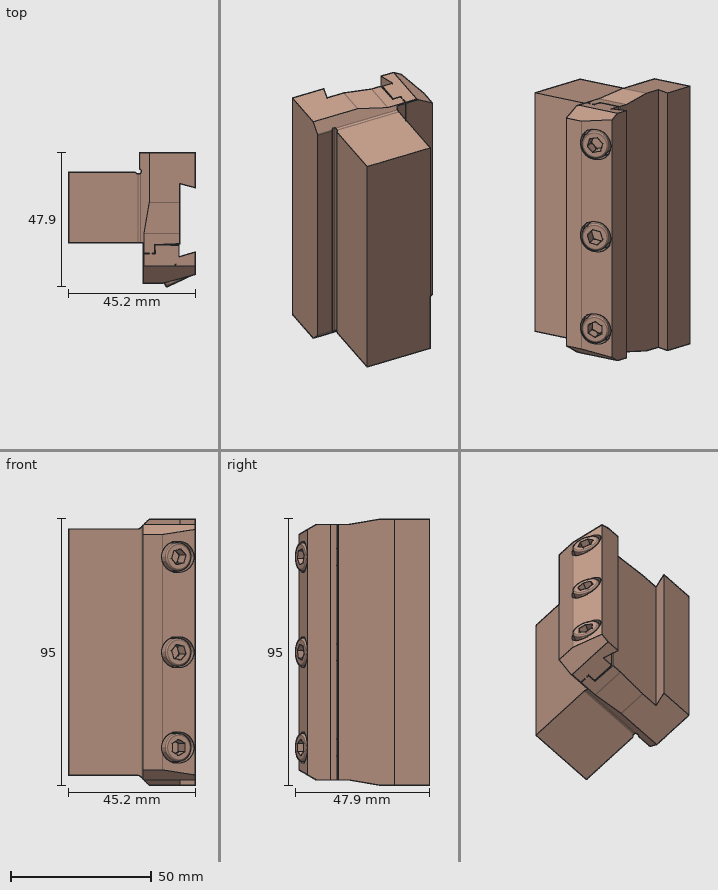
import cadquery as cq
import math


block_height = 95.0
shank_height = 88.0
jaw_height = 91.2
jaw_tip_height = 84.0

shank_left = 0.0
plate_left = 25.3
jaw_left = 26.6
block_right = 45.2
slot_floor = 39.7
jaw_slot_floor = 39.4
slant_start = 33.5

back = 32.2
shank_back = 25.3
shank_front = 0.0
jaw_front = -14.4
end_slope_back = 14.4
end_slope_front = 3.3
jaw_slope_back = -8.3
slot_back = 21.1
slot_front = -4.9

slot_angle = 15.0
jaw_slot_angle = 16.5
slant_angle = 15.0

shank_end_fillet = 1.2
jaw_corner_fillet = 0.4
plate_edge_fillet = 0.5
undercut_depth = 0.6
undercut_on_shank = 1.5
undercut_on_plate = 1.2

near = 0.1

slit_width = 0.2
slit_level = -3.8
hinge_left = 28.7
hinge_right = 29.9
slit_step = 30.8
slit_front = -0.9
slit_inner_width = 0.3
slit_mouth_width = 0.5

screw_angle = 25.0
screw_pitch = 34.0
screw_count = 3
screw_x = 39.3
screw_y = -13.8
head_diameter = 10.0
head_height = 6.0
head_fillet = 0.6
thread_diameter = 6.0
thread_length = 15.2
hex_width = 5.0
hex_depth = 5.9
bore_width = 11.0
bore_length = 11.8
bore_reach = 4.75
hex_turns = [30.0, -13.0, 13.0]


def drop(run, angle):
    """Offset of a line at the given angle after the given run."""
    return run * math.tan(math.radians(angle))


def prism(points, height=block_height):
    """An XY outline extruded along Z, centred on Z = 0."""
    return cq.Workplane("XY").polyline(points).close().extrude(height / 2, both=True)


def make_shank():
    length = jaw_left - shank_left
    depth = shank_back - shank_front
    return cq.Workplane("XY").box(length, depth, shank_height, centered=(False, False, True))


def make_plate():
    """Clamping plate with the dovetail blade slot, before its ends are shaped."""
    return prism([
        (plate_left, back),
        (block_right, back),
        (block_right, slot_back - drop(block_right - slot_floor, slot_angle)),
        (slot_floor, slot_back),
        (slot_floor, slit_front),
        (jaw_slot_floor, slit_front),
        (jaw_slot_floor, slot_front),
        (block_right, slot_front + drop(block_right - jaw_slot_floor, jaw_slot_angle)),
        (block_right, jaw_front + drop(block_right - slant_start, slant_angle)),
        (slant_start, jaw_front),
        (jaw_left, jaw_front),
        (jaw_left, shank_front),
        (plate_left, shank_front),
    ])


def plate_side_profile():
    """Side outline that steps the ends down toward the jaw."""
    upper = [
        (back, block_height / 2),
        (end_slope_back, block_height / 2),
        (end_slope_front, jaw_height / 2),
        (jaw_slope_back, jaw_height / 2),
        (jaw_front, jaw_tip_height / 2),
    ]
    lower = [(y, -z) for y, z in reversed(upper)]
    return cq.Workplane("YZ").polyline(upper + lower).close().extrude(block_right)


def plate_front_profile():
    """Front outline with the left corners chamfered at 45 degrees down to the shank."""
    chamfer = (block_height - shank_height) / 2
    upper = [
        (plate_left, shank_height / 2),
        (plate_left + chamfer, block_height / 2),
        (block_right, block_height / 2),
    ]
    lower = [(x, -z) for x, z in reversed(upper)]
    outline = cq.Workplane("XZ").polyline(upper + lower).close()
    return outline.extrude(2 * block_height, both=True)


def make_undercut():
    """Relief groove where the back of the shank meets the plate."""
    shank_floor = shank_back - undercut_depth
    plate_floor = plate_left + undercut_depth
    shank_end = plate_left - undercut_on_shank
    plate_end = shank_back + undercut_on_plate
    return (
        cq.Workplane("XY")
        .moveTo(shank_end, shank_back)
        .lineTo(shank_end + undercut_depth, shank_floor)
        .lineTo(plate_left, shank_floor)
        .radiusArc((plate_floor, shank_back), -undercut_depth)
        .lineTo(plate_floor, plate_end - undercut_depth)
        .lineTo(plate_left, plate_end)
        .lineTo(shank_end, plate_end)
        .close()
        .extrude(block_height / 2, both=True)
    )


def make_slits():
    """Outer slit from the left face and stepped inner slit from the blade slot."""
    low = slit_level - slit_width / 2
    high = slit_level + slit_width / 2
    outer = prism([(jaw_left, low), (hinge_left, low), (hinge_left, high), (jaw_left, high)])
    inner = prism([
        (hinge_right, low),
        (slit_step + slit_width / 2, low),
        (slit_step + slit_width / 2, slit_front),
        (slot_floor, slit_front),
        (slot_floor, slit_front + slit_mouth_width),
        (slit_step - slit_width / 2, slit_front + slit_inner_width),
        (slit_step - slit_width / 2, high),
        (hinge_right, high),
    ])
    return outer.union(inner)


def screw_plane(index):
    """Plane on the top face of a screw head, its normal pointing out along the screw axis."""
    tilt = math.radians(screw_angle)
    z = (index - (screw_count - 1) / 2) * screw_pitch
    return cq.Plane(
        origin=(screw_x, screw_y, z),
        xDir=(math.cos(tilt), math.sin(tilt), 0),
        normal=(math.sin(tilt), -math.cos(tilt), 0),
    )


def make_screw_hole(index):
    """Counterbore around the head and the hole filled by the thread."""
    seat = cq.Workplane(screw_plane(index)).workplane(offset=-head_height)
    bore = seat.slot2D(bore_length, bore_width).extrude(head_height + bore_reach)
    hole = seat.circle(thread_diameter / 2).extrude(-thread_length)
    return bore.union(hole)


def make_screw(index):
    """Cap screw with a rounded head edge and a hexagon socket."""
    top = cq.Workplane(screw_plane(index))
    head = top.circle(head_diameter / 2).extrude(-head_height)
    top_rim = cq.selectors.NearestToPointSelector(screw_plane(index).origin)
    head = head.edges(top_rim).fillet(head_fillet)
    thread = top.workplane(offset=-head_height).circle(thread_diameter / 2).extrude(-thread_length)
    hex_corners = hex_width / math.cos(math.pi / 6)
    socket = (
        top.transformed(rotate=(0, 0, hex_turns[index]))
        .polygon(6, hex_corners)
        .extrude(-hex_depth)
    )
    return head.union(thread).cut(socket)


def edges_within(low, high):
    """Selector for the edges whose centre lies in the XY rectangle, at any height."""
    return cq.selectors.BoxSelector((*low, -block_height), (*high, block_height))


def make_block():
    plate = make_plate().intersect(plate_side_profile()).intersect(plate_front_profile())
    block = plate.union(make_shank())

    shank_ends = edges_within(
        (plate_left - near, shank_front + near), (plate_left + near, shank_back - near)
    )
    block = block.edges(shank_ends).fillet(shank_end_fillet)
    jaw_corner = edges_within(
        (jaw_left - near, shank_front - near), (jaw_left + near, shank_front + near)
    )
    block = block.edges(jaw_corner).edges("|Z").fillet(jaw_corner_fillet)

    block = block.cut(make_undercut())
    plate_edges = edges_within(
        (plate_left - near, shank_back + near), (plate_left + near, back - near)
    )
    block = block.edges(plate_edges).edges("|Y").fillet(plate_edge_fillet)

    block = block.cut(make_slits())
    for index in range(screw_count):
        block = block.cut(make_screw_hole(index))
    return block


block = make_block()
screws = [make_screw(index) for index in range(screw_count)]
result = cq.Compound.makeCompound([block.val(), *[screw.val() for screw in screws]])